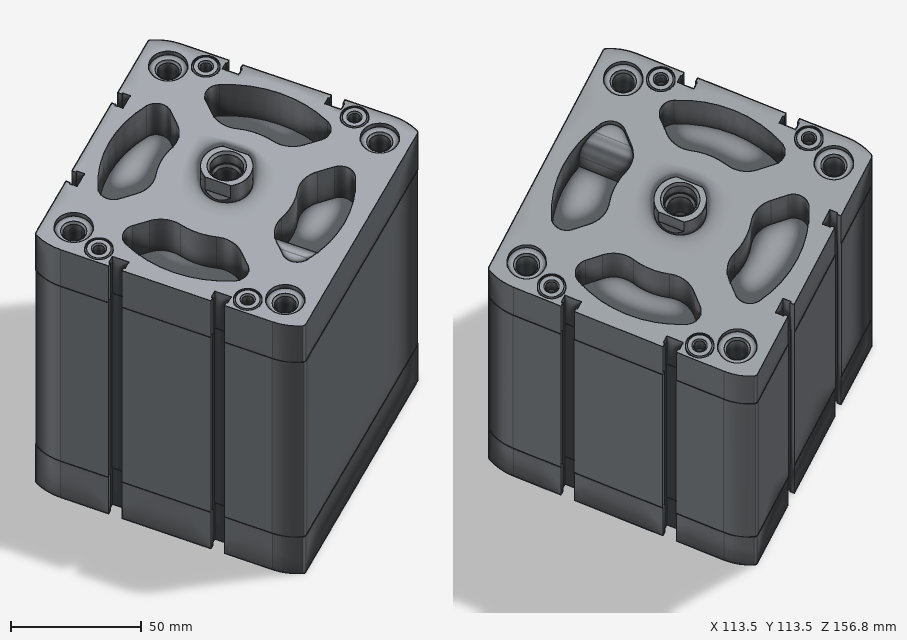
import cadquery as cq
import math

WIDTH = 113.5
HALF_WIDTH = WIDTH / 2
TOTAL_HEIGHT = 156.8
ROD_PROJECTION = 10.0
HOUSING_HEIGHT = TOTAL_HEIGHT - ROD_PROJECTION
CAP_HEIGHT = 21.6
CAP_INSET = 0.2
TUBE_CORNER_RADIUS = 20.9
CAP_CORNER_RADIUS = 24.3
CORNER_CENTER_X = 44.4
EDGE_RADIUS = 1.5

SLOT_OFFSET = 21.5
SLOT_MOUTH_WIDTH = 5.6
SLOT_INNER_WIDTH = 6.9
SLOT_LIP = 1.7
SLOT_DEPTH = 5.0

POCKET_DEPTH = 18.5
POCKET_OUTER_RADIUS = 49.4
POCKET_INNER_RADIUS = 27.5
WEB_WIDTH = 14.5
POCKET_OUTER_FILLET = 6.0
POCKET_INNER_FILLET = 11.9

STEP_RADIUS = 8.2
STEP_CREST_Y = -19.9
STEP_CREST_Z = HOUSING_HEIGHT - CAP_HEIGHT / 2 + STEP_RADIUS

MOUNT_OFFSET = 44.4
MOUNT_BORE_DIAMETER = 8.3
MOUNT_CHAMFER_DIAMETER = 10.0
MOUNT_SEAT_DIAMETER = 15.0
MOUNT_SEAT_DEPTH = 2.2

SCREW_X = 31.2
SCREW_Y = 50.2
SCREW_RECESS_DIAMETER = 11.0
SCREW_FACE_DIAMETER = 9.4
SOCKET_MOUTH_DIAMETER = 5.8
SOCKET_DIAMETER = 4.5
SOCKET_DEPTH = 6.3

ROD_DIAMETER = 20.0
ROD_LENGTH = ROD_PROJECTION + CAP_HEIGHT
FLAT_DISTANCE = 17.0
FLAT_LENGTH = 7.4
ROD_MOUTH_DIAMETER = 15.0
ROD_COUNTERBORE_DIAMETER = 13.0
ROD_COUNTERBORE_DEPTH = 6.0
ROD_CHAMFER_DIAMETER = 12.0
ROD_BORE_DIAMETER = 10.0
ROD_BORE_DEPTH = 18.8
DRILL_TIP_ANGLE = 118.0

OPPOSITE_SIDES = (-1, 1)


def revolved(profile):
    """Solid of revolution about Z from (radius, height) points."""
    return cq.Workplane("XZ").polyline(profile).close().revolve(360, (0, 0), (0, 1))


def drill_tip_length(diameter):
    """Depth of the cone left by a drill of the given diameter."""
    return diameter / 2 / math.tan(math.radians(DRILL_TIP_ANGLE / 2))


def profile_block(inset, radius, bottom, height):
    """Housing section with arched corners, its faces set in by the given amount."""
    half = HALF_WIDTH - inset
    center_y = half - radius
    run = half - CORNER_CENTER_X
    corner_y = center_y + math.sqrt(radius**2 - run**2)
    half_arc = math.asin(run / radius) / 2
    middle_x = CORNER_CENTER_X + radius * math.sin(half_arc)
    middle_y = center_y + radius * math.cos(half_arc)
    return (
        cq.Workplane("XY", origin=(0, 0, bottom))
        .moveTo(-CORNER_CENTER_X, half)
        .lineTo(CORNER_CENTER_X, half)
        .threePointArc((middle_x, middle_y), (half, corner_y))
        .lineTo(half, -corner_y)
        .threePointArc((middle_x, -middle_y), (CORNER_CENTER_X, -half))
        .lineTo(-CORNER_CENTER_X, -half)
        .threePointArc((-middle_x, -middle_y), (-half, -corner_y))
        .lineTo(-half, corner_y)
        .threePointArc((-middle_x, middle_y), (-CORNER_CENTER_X, half))
        .close()
        .extrude(height)
        .edges("|Z")
        .edges("<X or >X")
        .fillet(EDGE_RADIUS)
    )


def t_slots(half, bottom, height):
    """Pair of T-slots through the +Y face of a housing section."""
    inner_depth = SLOT_DEPTH - SLOT_LIP
    places = [(-SLOT_OFFSET, 0), (SLOT_OFFSET, 0)]
    mouth = (
        cq.Workplane("XY", origin=(0, half - SLOT_DEPTH / 2, bottom))
        .pushPoints(places)
        .rect(SLOT_MOUTH_WIDTH, SLOT_DEPTH)
        .extrude(height)
    )
    inner = (
        cq.Workplane("XY", origin=(0, half - SLOT_DEPTH + inner_depth / 2, bottom))
        .pushPoints(places)
        .rect(SLOT_INNER_WIDTH, inner_depth)
        .extrude(height)
    )
    return mouth.union(inner)


def housing_section(inset, radius, bottom, height):
    """Arched block with slots on its +Y, -X and -Y faces."""
    section = profile_block(inset, radius, bottom, height)
    slots = t_slots(HALF_WIDTH - inset, bottom, height)
    for angle in (0, 90, 180):
        section = section.cut(slots.rotate((0, 0, 0), (0, 0, 1), angle))
    return section


def pocket():
    """Kidney pocket on the +X side, between two diagonal webs."""
    bottom = HOUSING_HEIGHT - POCKET_DEPTH
    ring = (
        cq.Workplane("XY", origin=(0, 0, bottom))
        .circle(POCKET_OUTER_RADIUS)
        .circle(POCKET_INNER_RADIUS)
        .extrude(POCKET_DEPTH)
    )
    wedge_tip = WEB_WIDTH / 2 * math.sqrt(2)
    wedge = (
        cq.Workplane("XY", origin=(0, 0, bottom))
        .moveTo(wedge_tip, 0)
        .lineTo(WIDTH, WIDTH - wedge_tip)
        .lineTo(WIDTH, wedge_tip - WIDTH)
        .close()
        .extrude(POCKET_DEPTH)
    )
    middle_radius = (POCKET_OUTER_RADIUS + POCKET_INNER_RADIUS) / 2

    def is_outer(edge):
        return math.hypot(edge.Center().x, edge.Center().y) > middle_radius

    return (
        ring.intersect(wedge)
        .edges("|Z")
        .filter(is_outer)
        .fillet(POCKET_OUTER_FILLET)
        .edges("|Z")
        .filter(lambda edge: not is_outer(edge))
        .fillet(POCKET_INNER_FILLET)
    )


def pocket_step():
    """Block with a rounded +Y edge, filling the -Y end of the +X pocket."""
    floor = HOUSING_HEIGHT - POCKET_DEPTH
    face_y = STEP_CREST_Y + STEP_RADIUS
    axis_z = STEP_CREST_Z - STEP_RADIUS
    quarter_middle = STEP_RADIUS * math.sqrt(0.5)
    return (
        cq.Workplane("YZ")
        .moveTo(-HALF_WIDTH, floor)
        .lineTo(face_y, floor)
        .lineTo(face_y, axis_z)
        .threePointArc(
            (STEP_CREST_Y + quarter_middle, axis_z + quarter_middle),
            (STEP_CREST_Y, STEP_CREST_Z),
        )
        .lineTo(-HALF_WIDTH, STEP_CREST_Z)
        .close()
        .extrude(HALF_WIDTH)
    )


def mounting_hole():
    """Through bore with a chamfered edge below a shallow seat."""
    bore = MOUNT_BORE_DIAMETER / 2
    chamfer = MOUNT_CHAMFER_DIAMETER / 2
    seat = MOUNT_SEAT_DIAMETER / 2
    floor = HOUSING_HEIGHT - MOUNT_SEAT_DEPTH
    return revolved([
        (0, 0),
        (bore, 0),
        (bore, floor - (chamfer - bore)),
        (chamfer, floor),
        (seat, floor),
        (seat, HOUSING_HEIGHT),
        (0, HOUSING_HEIGHT),
    ])


def screw_relief():
    """Groove around the chamfered screw head, plus its drilled socket."""
    rim = SCREW_RECESS_DIAMETER / 2
    face = SCREW_FACE_DIAMETER / 2
    mouth = SOCKET_MOUTH_DIAMETER / 2
    socket = SOCKET_DIAMETER / 2
    top = HOUSING_HEIGHT
    groove = revolved([(face, top), (rim, top), (rim, top - (rim - face))])
    drilled = revolved([
        (0, top - SOCKET_DEPTH - drill_tip_length(SOCKET_DIAMETER)),
        (socket, top - SOCKET_DEPTH),
        (socket, top - (mouth - socket)),
        (mouth, top),
        (0, top),
    ])
    return [groove, drilled]


def make_housing():
    """Caps and tube with slots, pockets, mounting holes, screw heads and the rod seat."""
    body = housing_section(0, TUBE_CORNER_RADIUS, CAP_HEIGHT, HOUSING_HEIGHT - 2 * CAP_HEIGHT)
    for cap_bottom in (0, HOUSING_HEIGHT - CAP_HEIGHT):
        body = body.union(housing_section(CAP_INSET, CAP_CORNER_RADIUS, cap_bottom, CAP_HEIGHT))

    kidney = pocket()
    body = body.cut(kidney.cut(pocket_step()))
    for angle in (90, 180, 270):
        body = body.cut(kidney.rotate((0, 0, 0), (0, 0, 1), angle))

    mount = mounting_hole()
    reliefs = screw_relief()
    for side in OPPOSITE_SIDES:
        for end in OPPOSITE_SIDES:
            body = body.cut(mount.translate((side * MOUNT_OFFSET, end * MOUNT_OFFSET, 0)))
            for relief in reliefs:
                body = body.cut(relief.translate((side * SCREW_X, end * SCREW_Y, 0)))

    rod_seat = (
        cq.Workplane("XY", origin=(0, 0, TOTAL_HEIGHT - ROD_LENGTH))
        .circle(ROD_DIAMETER / 2)
        .extrude(ROD_LENGTH)
    )
    return body.cut(rod_seat)


def rod_hole():
    """Chamfered counterbore above a chamfered blind bore with a drill tip."""
    bore = ROD_BORE_DIAMETER / 2
    chamfer = ROD_CHAMFER_DIAMETER / 2
    counterbore = ROD_COUNTERBORE_DIAMETER / 2
    mouth = ROD_MOUTH_DIAMETER / 2
    top = TOTAL_HEIGHT
    floor = top - ROD_COUNTERBORE_DEPTH
    return revolved([
        (0, top - ROD_BORE_DEPTH - drill_tip_length(ROD_BORE_DIAMETER)),
        (bore, top - ROD_BORE_DEPTH),
        (bore, floor - (chamfer - bore)),
        (chamfer, floor),
        (counterbore, floor),
        (counterbore, top - (mouth - counterbore)),
        (mouth, top),
        (0, top),
    ])


def wrench_flat():
    """Cut on the +Y side of the rod, its lower end sloping outwards at 45 degrees."""
    flat_y = FLAT_DISTANCE / 2
    flat_bottom = TOTAL_HEIGHT - FLAT_LENGTH
    outer_y = ROD_DIAMETER / 2
    slope_bottom = flat_bottom - (outer_y - flat_y)
    return (
        cq.Workplane("YZ")
        .moveTo(flat_y, TOTAL_HEIGHT)
        .lineTo(flat_y, flat_bottom)
        .lineTo(outer_y, slope_bottom)
        .lineTo(outer_y, TOTAL_HEIGHT)
        .close()
        .extrude(ROD_DIAMETER / 2, both=True)
    )


def make_rod():
    """Rod that fills the top cap and projects above it, with two wrench flats."""
    rod = (
        cq.Workplane("XY", origin=(0, 0, TOTAL_HEIGHT - ROD_LENGTH))
        .circle(ROD_DIAMETER / 2)
        .extrude(ROD_LENGTH)
        .cut(rod_hole())
    )
    flat = wrench_flat()
    return rod.cut(flat).cut(flat.mirror("XZ"))


housing = make_housing()
rod = make_rod()
result = cq.Compound.makeCompound([housing.val(), rod.val()])